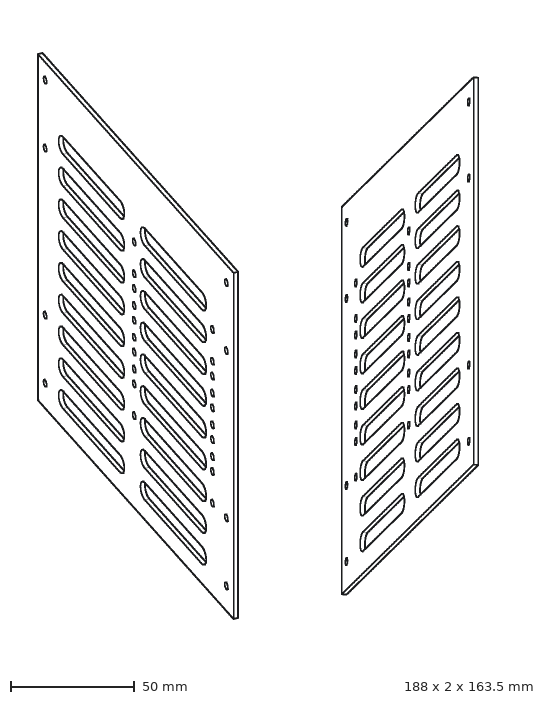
import cadquery as cq

PLATE_WIDTH = 188.0
PLATE_HEIGHT = 163.5
PLATE_THICKNESS = 2.0

SLOT_LENGTH = 63.0
SLOT_HEIGHT = 8.0
SLOT_ROWS = 9
SLOT_SPAN = 120.1
SLOT_FIELD_Z = -8.3
LEFT_SLOT_X = -42.5
RIGHT_SLOT_X = 36.1
ROW_PITCH = SLOT_SPAN / (SLOT_ROWS - 1)

HOLE_DIAMETER = 3.0

MOUNT_HALF_SPACING_X = 87.0
MOUNT_CENTER_Z = 1.7
MOUNT_OUTER_OFFSET = 71.6
MOUNT_INNER_OFFSET = 39.5

BRACKET_CENTER_Z = 2.8
BRACKET_SPACING_X = 75.2
BRACKET_PAIR_SPACING = 22.0
BRACKET_COUNT = 5


def row_heights(center, count):
    """Heights of evenly pitched rows arranged symmetrically about a centre."""
    return [center + (i - (count - 1) / 2) * ROW_PITCH for i in range(count)]


def slot_centers():
    return [
        (x, z)
        for x in (LEFT_SLOT_X, RIGHT_SLOT_X)
        for z in row_heights(SLOT_FIELD_Z, SLOT_ROWS)
    ]


def mounting_hole_centers():
    return [
        (side * MOUNT_HALF_SPACING_X, MOUNT_CENTER_Z + end * offset)
        for side in (-1, 1)
        for end in (-1, 1)
        for offset in (MOUNT_INNER_OFFSET, MOUNT_OUTER_OFFSET)
    ]


def bracket_hole_centers():
    return [
        (RIGHT_SLOT_X + side * BRACKET_SPACING_X / 2, z + end * BRACKET_PAIR_SPACING / 2)
        for side in (-1, 1)
        for z in row_heights(BRACKET_CENTER_Z, BRACKET_COUNT)
        for end in (-1, 1)
    ]


plate = cq.Workplane("XZ").rect(PLATE_WIDTH, PLATE_HEIGHT).extrude(PLATE_THICKNESS / 2, both=True)

slots = (
    cq.Workplane("XZ")
    .pushPoints(slot_centers())
    .slot2D(SLOT_LENGTH, SLOT_HEIGHT)
    .extrude(PLATE_THICKNESS, both=True)
)

holes = (
    cq.Workplane("XZ")
    .pushPoints(mounting_hole_centers() + bracket_hole_centers())
    .circle(HOLE_DIAMETER / 2)
    .extrude(PLATE_THICKNESS, both=True)
)

result = plate.cut(slots).cut(holes)